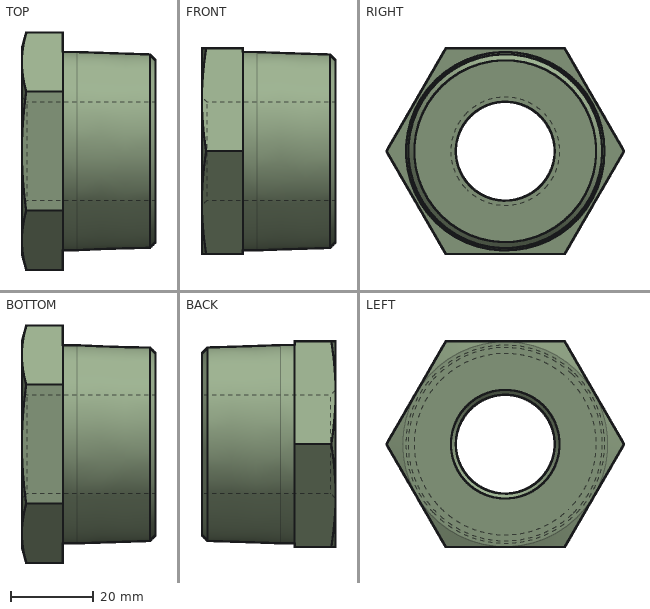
import cadquery as cq
import math

across_corners = 57.75
head_length = 10.0
head_face_diameter = 49.75
head_chamfer_angle = 15.0
trim_overrun = 5.8

total_length = 32.5
collar_diameter = 48.2
collar_length = 3.4
taper_end_diameter = 47.05
end_chamfer = 1.45

bore_diameter = 23.95
bore_mouth_diameter = 26.4
bore_chamfer_angle = 45.0


def revolve_about_x(points):
    """Turn a closed (x, radius) outline into a solid around the X axis."""
    return cq.Workplane("XY").polyline(points).close().revolve(360, (0, 0, 0), (1, 0, 0))


def make_head():
    """Hexagon with corners on +Y and -Y, its outer face trimmed by a shallow cone."""
    hexagon = cq.Workplane("YZ").polygon(6, across_corners).extrude(head_length)
    face_radius = head_face_diameter / 2
    trim_radius = across_corners / 2 + trim_overrun
    trim_depth = (trim_radius - face_radius) * math.tan(math.radians(head_chamfer_angle))
    trim = revolve_about_x([
        (0, 0),
        (0, face_radius),
        (trim_depth, trim_radius),
        (head_length, trim_radius),
        (head_length, 0),
    ])
    return hexagon.intersect(trim)


def make_plug():
    """Straight collar, then a slight taper ending in a chamfer."""
    collar_radius = collar_diameter / 2
    taper_end_radius = taper_end_diameter / 2
    return revolve_about_x([
        (head_length, 0),
        (head_length, collar_radius),
        (head_length + collar_length, collar_radius),
        (total_length - end_chamfer, taper_end_radius),
        (total_length, taper_end_radius - end_chamfer),
        (total_length, 0),
    ])


def make_bore():
    """Through hole with a chamfered mouth on the head face."""
    bore_radius = bore_diameter / 2
    mouth_radius = bore_mouth_diameter / 2
    mouth_depth = (mouth_radius - bore_radius) / math.tan(math.radians(bore_chamfer_angle))
    return revolve_about_x([
        (0, 0),
        (0, mouth_radius),
        (mouth_depth, bore_radius),
        (total_length, bore_radius),
        (total_length, 0),
    ])


result = make_head().union(make_plug()).cut(make_bore())